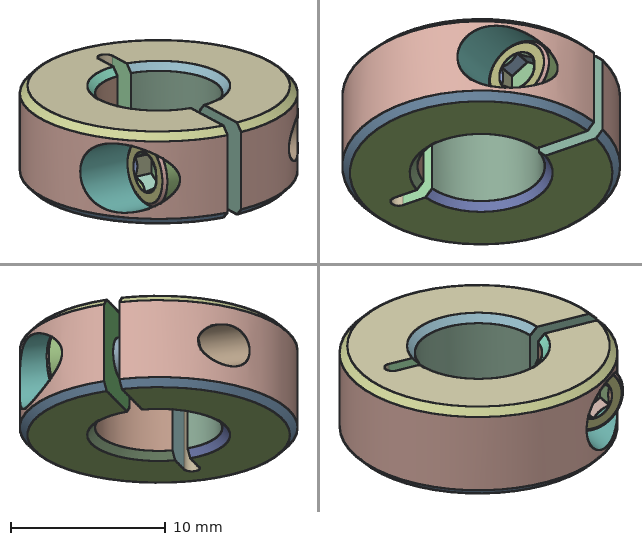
import cadquery as cq
import math

OUTER_DIAMETER = 17.99
OUTER_RADIUS = OUTER_DIAMETER / 2
WIDTH = 6.35
BORE_RADIUS = 4.12
EDGE_CHAMFER = 0.5

SLIT_WIDTH = 1.05
RELIEF_REACH = 6.84

SCREW_X = 5.83
SHANK_RADIUS = 1.42
SHANK_END_Y = 4.5
HEAD_RADIUS = 2.3
HEAD_FACE_Y = -4.85
HEAD_HEIGHT = 2.5
HEAD_SEAT_Y = HEAD_FACE_Y + HEAD_HEIGHT
HEAD_CHAMFER = 0.23
POCKET_RADIUS = 2.37

SOCKET_FLATS = 2.35
SOCKET_CORNER_RADIUS = SOCKET_FLATS / math.sqrt(3)
SOCKET_DEPTH = 1.26
COUNTERSINK_DEPTH = SOCKET_CORNER_RADIUS - SOCKET_FLATS / 2


def cylinder_along_y(radius, start_y, end_y):
    """Cylinder on the screw axis, from start_y to end_y."""
    start = cq.Vector(SCREW_X, start_y, 0)
    return cq.Workplane(cq.Solid.makeCylinder(radius, end_y - start_y, start, cq.Vector(0, 1, 0)))


def make_ring():
    """Ring with chamfered outer and bore edges."""
    ring = cq.Workplane("XY").circle(OUTER_RADIUS).circle(BORE_RADIUS).extrude(WIDTH / 2, both=True)
    return ring.faces("|Z").edges().chamfer(EDGE_CHAMFER)


def make_clamp_slit():
    """Slit from the bore out through the +X side."""
    return cq.Workplane("XY").box(OUTER_DIAMETER, SLIT_WIDTH, WIDTH, centered=(False, True, True))


def make_relief_slit():
    """Slit from the bore toward -X, closed by a semicircular end."""
    end_radius = SLIT_WIDTH / 2
    straight_end_x = end_radius - RELIEF_REACH
    return (
        cq.Workplane("XY")
        .moveTo(0, -end_radius)
        .lineTo(straight_end_x, -end_radius)
        .threePointArc((-RELIEF_REACH, 0), (straight_end_x, end_radius))
        .lineTo(0, end_radius)
        .close()
        .extrude(WIDTH / 2, both=True)
    )


def make_collar():
    """Split collar with a head pocket and a through hole for the screw."""
    head_pocket = cylinder_along_y(POCKET_RADIUS, -OUTER_RADIUS, HEAD_SEAT_Y)
    shank_hole = cylinder_along_y(SHANK_RADIUS, HEAD_SEAT_Y, OUTER_RADIUS)
    return (
        make_ring()
        .cut(make_clamp_slit())
        .cut(make_relief_slit())
        .cut(head_pocket)
        .cut(shank_hole)
    )


def make_socket():
    """Hexagonal recess with a conical countersink at its mouth."""
    face_plane = cq.Plane(origin=(SCREW_X, HEAD_FACE_Y, 0), xDir=(0, 0, 1), normal=(0, 1, 0))
    hexagon = cq.Workplane(face_plane).polygon(6, 2 * SOCKET_CORNER_RADIUS).extrude(SOCKET_DEPTH)
    countersink = cq.Solid.makeCone(
        SOCKET_CORNER_RADIUS,
        SOCKET_FLATS / 2,
        COUNTERSINK_DEPTH,
        cq.Vector(SCREW_X, HEAD_FACE_Y, 0),
        cq.Vector(0, 1, 0),
    )
    return hexagon.union(cq.Workplane(countersink))


def make_screw():
    """Socket head cap screw that clamps the slit."""
    head = cylinder_along_y(HEAD_RADIUS, HEAD_FACE_Y, HEAD_SEAT_Y).faces("<Y").edges().chamfer(HEAD_CHAMFER)
    shank = cylinder_along_y(SHANK_RADIUS, HEAD_SEAT_Y, SHANK_END_Y)
    return head.union(shank).cut(make_socket())


collar = make_collar()
screw = make_screw()

result = cq.Compound.makeCompound([collar.val(), screw.val()])